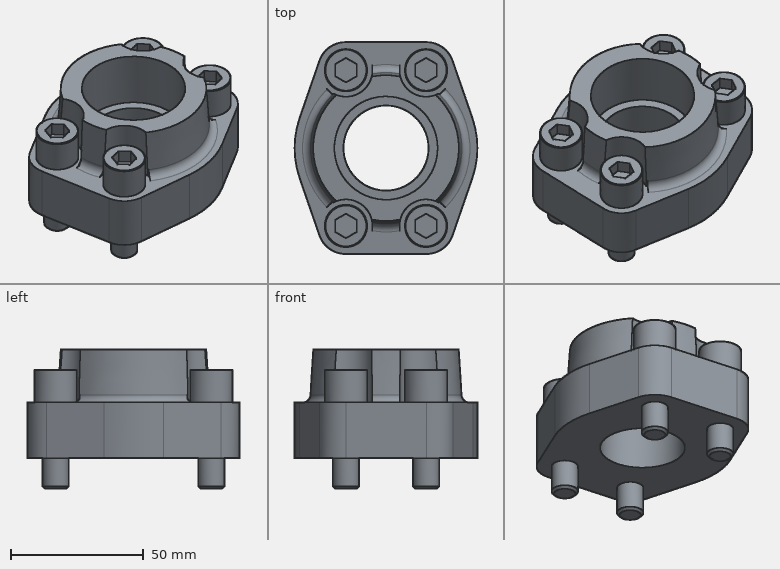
import cadquery as cq
import math

plate_height = 21.0
plate_length = 80.0
plate_side_radius = 34.5

bolt_spacing_x = 30.2
bolt_spacing_y = 58.7
bolt_x = bolt_spacing_x / 2
bolt_y = bolt_spacing_y / 2
corner_radius = plate_length / 2 - bolt_y

neck_height = 20.0
neck_top_radius = 27.45
neck_base_radius = 28.55
total_height = plate_height + neck_height
head_clearance_radius = 10.0

fillet_radius = 3.0
side_fillet_sweep = 90.0
end_fillet_width = 10.35

bore_diameter = 32.0
socket_diameter = 38.95
socket_depth = 22.0

head_diameter = 16.0
head_height = 12.4
head_chamfer = 0.3
hex_across_flats = 8.0
hex_across_corners = hex_across_flats / math.cos(math.pi / 6)
hex_depth = 5.0
shank_diameter = 10.0
shank_protrusion = 11.5
tip_chamfer = 1.0


def make_plate():
    """Plate outlined by the common tangents of two side arcs and four corner arcs."""
    tangent_angle = math.atan2(bolt_y, bolt_x) - math.acos(
        (plate_side_radius - corner_radius) / math.hypot(bolt_x, bolt_y)
    )
    corner_mid_angle = (tangent_angle + math.pi / 2) / 2

    side_x = plate_side_radius * math.cos(tangent_angle)
    side_y = plate_side_radius * math.sin(tangent_angle)
    corner_x = bolt_x + corner_radius * math.cos(tangent_angle)
    corner_y = bolt_y + corner_radius * math.sin(tangent_angle)
    corner_mid_x = bolt_x + corner_radius * math.cos(corner_mid_angle)
    corner_mid_y = bolt_y + corner_radius * math.sin(corner_mid_angle)
    end_y = plate_length / 2

    return (
        cq.Workplane("XY")
        .moveTo(side_x, -side_y)
        .threePointArc((plate_side_radius, 0), (side_x, side_y))
        .lineTo(corner_x, corner_y)
        .threePointArc((corner_mid_x, corner_mid_y), (bolt_x, end_y))
        .lineTo(-bolt_x, end_y)
        .threePointArc((-corner_mid_x, corner_mid_y), (-corner_x, corner_y))
        .lineTo(-side_x, side_y)
        .threePointArc((-plate_side_radius, 0), (-side_x, -side_y))
        .lineTo(-corner_x, -corner_y)
        .threePointArc((-corner_mid_x, -corner_mid_y), (-bolt_x, -end_y))
        .lineTo(bolt_x, -end_y)
        .threePointArc((corner_mid_x, -corner_mid_y), (corner_x, -corner_y))
        .close()
        .extrude(plate_height)
    )


def make_neck():
    """Tapered neck with vertical recesses that clear the bolt heads."""
    neck = (
        cq.Workplane("XZ")
        .moveTo(0, plate_height)
        .lineTo(neck_base_radius, plate_height)
        .lineTo(neck_base_radius, plate_height + fillet_radius)
        .lineTo(neck_top_radius, total_height)
        .lineTo(0, total_height)
        .close()
        .revolve(360, (0, 0), (0, 1))
    )
    recesses = (
        cq.Workplane("XY")
        .workplane(offset=plate_height)
        .rarray(bolt_spacing_x, bolt_spacing_y, 2, 2)
        .circle(head_clearance_radius)
        .extrude(neck_height)
    )
    return neck.cut(recesses)


def fillet_ring(sweep_angle):
    """Concave fillet around the neck base, swept symmetrically about +X."""
    inner_radius = socket_diameter / 2 + fillet_radius
    outer_radius = neck_base_radius + fillet_radius
    arc_offset = fillet_radius * (1 - math.sqrt(0.5))
    return (
        cq.Workplane("XZ")
        .moveTo(inner_radius, plate_height)
        .lineTo(outer_radius, plate_height)
        .threePointArc(
            (neck_base_radius + arc_offset, plate_height + arc_offset),
            (neck_base_radius, plate_height + fillet_radius),
        )
        .lineTo(inner_radius, plate_height + fillet_radius)
        .close()
        .revolve(sweep_angle, (0, 0), (0, 1))
        .rotate((0, 0, 0), (0, 0, 1), -sweep_angle / 2)
    )


def make_fillets():
    """Two long fillets on the X sides and two short, square-ended ones on the Y ends."""
    side_fillet = fillet_ring(side_fillet_sweep)
    opposite_side_fillet = side_fillet.rotate((0, 0, 0), (0, 0, 1), 180)
    end_strip = (
        cq.Workplane("XY")
        .workplane(offset=plate_height)
        .rect(end_fillet_width, plate_length)
        .extrude(fillet_radius)
    )
    end_fillets = fillet_ring(360).intersect(end_strip)
    return side_fillet.union(opposite_side_fillet).union(end_fillets)


def make_bore():
    """Through bore with a wider socket sunk from the top of the neck."""
    bore = cq.Workplane("XY").circle(bore_diameter / 2).extrude(total_height)
    socket = (
        cq.Workplane("XY")
        .workplane(offset=total_height - socket_depth)
        .circle(socket_diameter / 2)
        .extrude(socket_depth)
    )
    return bore.union(socket)


def make_bolt():
    """Socket-head bolt on the Z axis, without clearance to the plate."""
    head_top = plate_height + head_height
    head = (
        cq.Workplane("XY")
        .workplane(offset=plate_height)
        .circle(head_diameter / 2)
        .extrude(head_height)
        .faces(">Z")
        .chamfer(head_chamfer)
    )
    hex_socket = (
        cq.Workplane("XY")
        .workplane(offset=head_top - hex_depth)
        .polygon(6, hex_across_corners)
        .extrude(hex_depth)
        .rotate((0, 0, 0), (0, 0, 1), 90)
    )
    shank = (
        cq.Workplane("XY")
        .workplane(offset=-shank_protrusion)
        .circle(shank_diameter / 2)
        .extrude(shank_protrusion + plate_height)
        .faces("<Z")
        .chamfer(tip_chamfer)
    )
    return head.cut(hex_socket).union(shank)


result = make_plate().union(make_neck()).union(make_fillets()).cut(make_bore())
for x in (-bolt_x, bolt_x):
    for y in (-bolt_y, bolt_y):
        result = result.union(make_bolt().translate((x, y, 0)))